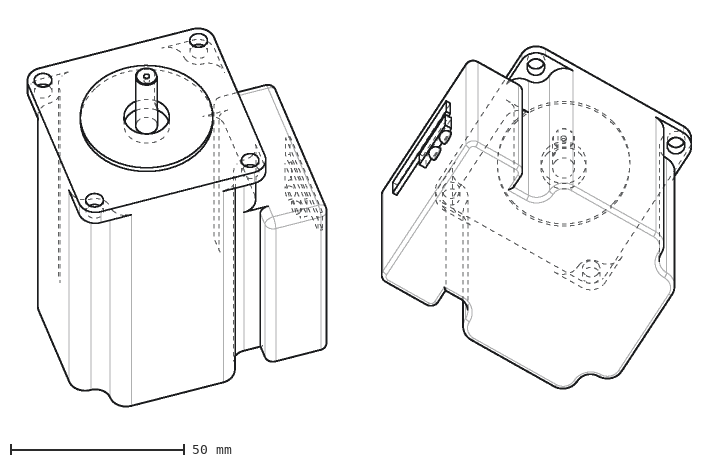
import cadquery as cq
import math


total_height = 112.4
total_depth = 77.5
flange_top = 92.4
flange_thickness = 5.0
flange_bottom = flange_top - flange_thickness

motor_width = 56.4
half_width = motor_width / 2
corner_radius = 5.0
hole_offset = 23.6
hole_diameter = 5.1
flat_half_width = 13.9
bump_radius = 5.0
bump_center = half_width - bump_radius
bump_side = flat_half_width + bump_radius
groove_radius = bump_center - bump_side
bottom_fillet = 1.2

pilot_radius = 19.1
pilot_height = 1.7
pilot_top = flange_top + pilot_height
recess_radius = 6.5
recess_depth = 4.0

shaft_radius = 3.1
shaft_flat_offset = 2.8
shaft_flat_bottom = 97.7
shaft_chamfer = 0.2
center_hole_radius = 0.8
center_hole_depth = 2.0

box_half_width = 25.5
box_height = 63.6
box_depth = 18.7
box_face = half_width + box_depth
box_fillet = 2.5
neck_half_width = bump_side
neck_reach = 5.6

upper_connector_left = -14.4
upper_connector_right = 15.3
upper_connector_bottom = 42.2
upper_connector_protrusion = 1.3
lower_connector_left = -15.1
lower_connector_right = -0.7
lower_connector_bottom = 29.7
lower_connector_protrusion = 2.0
connector_height = 8.0
lamp_positions_x = (-13.0, -7.2)
lamp_z = 26.5
lamp_diameter = 3.9
lamp_radius = lamp_diameter / 2
lamp_tip = total_depth - half_width

embed = 1.1


def box_between(low, high):
    """Block spanning two opposite corners."""
    size = [b - a for a, b in zip(low, high)]
    return cq.Workplane("XY").box(*size, centered=False).translate(low)


def make_flange():
    plate = (
        cq.Workplane("XY", origin=(0, 0, flange_bottom))
        .rect(motor_width, motor_width)
        .extrude(flange_thickness)
        .edges("|Z")
        .fillet(corner_radius)
    )
    pilot = cq.Workplane("XY", origin=(0, 0, flange_top)).circle(pilot_radius).extrude(pilot_height)
    return plate.union(pilot)


def make_body():
    """Column with rounded bumps flanking a concave groove along each corner."""
    arc_mid = math.cos(math.pi / 4)
    bump_mid = (flat_half_width + bump_radius * arc_mid, bump_center + bump_radius * arc_mid)
    groove_mid = bump_center - groove_radius * arc_mid

    def turned(point, quarter_turns):
        x, y = point
        for _ in range(quarter_turns):
            x, y = y, -x
        return (x, y)

    outline = cq.Workplane("XY").moveTo(-flat_half_width, half_width)
    for turn in range(4):
        outline = (
            outline.lineTo(*turned((flat_half_width, half_width), turn))
            .threePointArc(turned(bump_mid, turn), turned((bump_side, bump_center), turn))
            .threePointArc(
                turned((groove_mid, groove_mid), turn), turned((bump_center, bump_side), turn)
            )
            .threePointArc(turned(bump_mid[::-1], turn), turned((half_width, flat_half_width), turn))
        )
    return outline.close().extrude(flange_bottom).faces("<Z").edges().fillet(bottom_fillet)


def make_drive_box():
    shell = box_between((-box_half_width, half_width, 0), (box_half_width, box_face, box_height))
    shell = shell.edges("|Z or >Z").fillet(box_fillet)
    shell = shell.faces("<Z").edges().fillet(bottom_fillet)
    neck = box_between(
        (-neck_half_width, half_width - neck_reach, 0),
        (neck_half_width, half_width + neck_reach, box_height),
    )
    neck = neck.faces("<Z").edges("|Y").fillet(bottom_fillet)
    return shell.union(neck)


def make_connector(left, right, bottom, protrusion):
    return box_between(
        (left, box_face - embed, bottom),
        (right, box_face + protrusion, bottom + connector_height),
    )


def make_lamp(x):
    """Short cylinder with a hemispherical end pointing along +Y."""
    dome_center_y = lamp_tip - lamp_radius
    start_y = box_face - embed
    stem = (
        cq.Workplane("XZ", origin=(x, start_y, lamp_z))
        .circle(lamp_radius)
        .extrude(start_y - dome_center_y)
    )
    dome = cq.Workplane("XY").sphere(lamp_radius).translate((x, dome_center_y, lamp_z))
    return stem.union(dome)


def make_shaft():
    """Round shaft with one flat facing +Y and a center hole in its end."""
    base_z = pilot_top - recess_depth - embed
    shaft = (
        cq.Workplane("XY", origin=(0, 0, base_z))
        .circle(shaft_radius)
        .extrude(total_height - base_z)
        .faces(">Z")
        .chamfer(shaft_chamfer)
    )
    flat_cut = box_between(
        (-shaft_radius, shaft_flat_offset, shaft_flat_bottom),
        (shaft_radius, shaft_radius + embed, total_height),
    )
    center_hole = (
        cq.Workplane("XY", origin=(0, 0, total_height))
        .circle(center_hole_radius)
        .extrude(-center_hole_depth)
    )
    return shaft.cut(flat_cut).cut(center_hole)


result = make_body().union(make_flange()).union(make_drive_box())

result = result.cut(
    cq.Workplane("XY", origin=(0, 0, flange_bottom))
    .rect(2 * hole_offset, 2 * hole_offset, forConstruction=True)
    .vertices()
    .circle(hole_diameter / 2)
    .extrude(flange_thickness)
)

result = result.cut(
    cq.Workplane("XY", origin=(0, 0, pilot_top)).circle(recess_radius).extrude(-recess_depth)
)
result = result.union(make_shaft())

result = result.union(
    make_connector(
        upper_connector_left, upper_connector_right, upper_connector_bottom, upper_connector_protrusion
    )
)
result = result.union(
    make_connector(
        lower_connector_left, lower_connector_right, lower_connector_bottom, lower_connector_protrusion
    )
)
for lamp_x in lamp_positions_x:
    result = result.union(make_lamp(lamp_x))